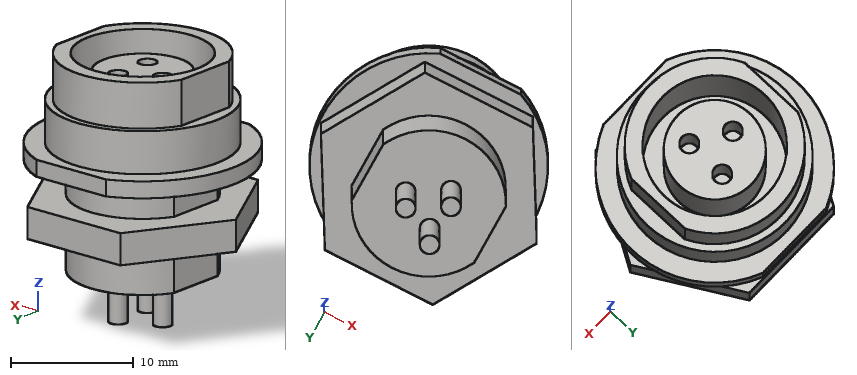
import cadquery as cq

body_bottom = 4.23
nut_bottom = 8.05
nut_top = 10.83
flange_bottom = 13.82
flange_top = 15.3
collar_top = 19.02
total_height = 23.0

body_diameter = 12.6
body_flats = 11.36
flange_diameter = 19.5
flange_flats = 18.0
collar_diameter = 16.0
mouth_diameter = 14.72
mouth_flats = 13.43
nut_corners = 20.0

bore_diameter = 11.8
bore_floor = flange_top
insert_diameter = 8.35
insert_top = total_height - 1.52
contact_diameter = 1.6
contact_circle_radius = 2.15
contact_count = 3
contact_hole_depth = 3.45


def cylinder(diameter, bottom, top):
    return cq.Workplane("XY").workplane(offset=bottom).circle(diameter / 2).extrude(top - bottom)


def flatted_cylinder(diameter, bottom, top, width_x, width_y):
    """Cylinder trimmed to a rectangle, which leaves flats on its sides."""
    height = top - bottom
    trim = cq.Workplane("XY").workplane(offset=bottom).rect(width_x, width_y).extrude(height)
    return cylinder(diameter, bottom, top).intersect(trim)


def contacts(bottom, top):
    """Round contacts evenly spaced about the axis, the first on the -X side."""
    return (
        cq.Workplane("XY")
        .workplane(offset=bottom)
        .polarArray(contact_circle_radius, 180, 360, contact_count)
        .circle(contact_diameter / 2)
        .extrude(top - bottom)
    )


body = flatted_cylinder(body_diameter, body_bottom, flange_bottom, body_flats, body_diameter)
flange = flatted_cylinder(flange_diameter, flange_bottom, flange_top, flange_diameter, flange_flats)
collar = cylinder(collar_diameter, flange_top, collar_top)
mouth = flatted_cylinder(mouth_diameter, collar_top, total_height, mouth_flats, mouth_diameter)
shell = body.union(flange).union(collar).union(mouth)

nut = (
    cq.Workplane("XY")
    .workplane(offset=nut_bottom)
    .polygon(6, nut_corners)
    .extrude(nut_top - nut_bottom)
)

bore = cylinder(bore_diameter, bore_floor, total_height)
insert = cylinder(insert_diameter, bore_floor, insert_top)
contact_holes = contacts(insert_top - contact_hole_depth, insert_top)
pins = contacts(0, body_bottom)

result = shell.union(nut).cut(bore).union(insert).cut(contact_holes).union(pins)